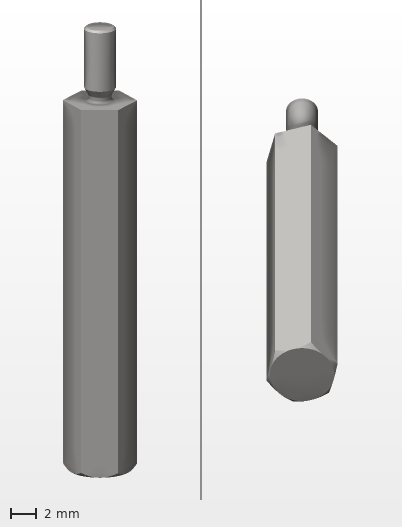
import cadquery as cq
import math

total_length = 36.0
stud_length = 6.0
across_flats = 5.0
stud_diameter = 2.5
tip_chamfer = 0.162
neck_diameter = 1.8
neck_fillet = 0.25
undercut_length = 1.08
runout_angle = 30.0
chamfer_angle = 45.0

body_length = total_length - stud_length
across_corners = across_flats / math.cos(math.radians(30))
stud_radius = stud_diameter / 2
neck_radius = neck_diameter / 2


def hex_body():
    """Hexagonal bar with its corners turned off conically at the bottom end."""
    bar = cq.Workplane("XY").polygon(6, across_corners).extrude(body_length)
    corner_radius = across_corners / 2
    face_radius = across_flats / 2
    cone_height = (corner_radius - face_radius) * math.tan(math.radians(chamfer_angle))
    envelope = (
        cq.Workplane("XZ")
        .lineTo(face_radius, 0)
        .lineTo(corner_radius, cone_height)
        .lineTo(corner_radius, body_length)
        .lineTo(0, body_length)
        .close()
        .revolve(360, (0, 0, 0), (0, 1, 0))
    )
    return bar.intersect(envelope)


def stud():
    """Plain stud with a filleted undercut neck, a conical runout and a chamfered tip."""
    angle = math.radians(runout_angle)
    undercut_top = body_length + undercut_length
    cone_start_radius = neck_radius + neck_fillet * (1 - math.cos(angle))
    cone_start_height = undercut_top - (stud_radius - cone_start_radius) / math.tan(angle)
    neck_top = cone_start_height - neck_fillet * math.sin(angle)
    return (
        cq.Workplane("XZ")
        .moveTo(0, body_length)
        .lineTo(neck_radius + neck_fillet, body_length)
        .radiusArc((neck_radius, body_length + neck_fillet), neck_fillet)
        .lineTo(neck_radius, neck_top)
        .radiusArc((cone_start_radius, cone_start_height), neck_fillet)
        .lineTo(stud_radius, undercut_top)
        .lineTo(stud_radius, total_length - tip_chamfer)
        .lineTo(stud_radius - tip_chamfer, total_length)
        .lineTo(0, total_length)
        .close()
        .revolve(360, (0, 0, 0), (0, 1, 0))
    )


result = hex_body().union(stud())